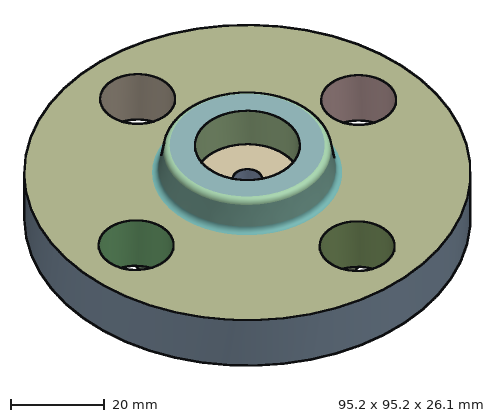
import cadquery as cq
import math

flange_diameter = 95.2
flange_thickness = 12.95

face_diameter = 50.9
face_height = 5.5

hub_base_diameter = 38.2
hub_height = 7.7
hub_taper = 10.0
hub_fillet = 1.4

socket_diameter = 22.4
socket_depth = 9.5
passage_diameter = 6.3

bolt_count = 4
bolt_circle_diameter = 66.7
bolt_hole_diameter = 16.0

flange_bottom = face_height
flange_top = flange_bottom + flange_thickness
total_height = flange_top + hub_height
socket_floor = total_height - socket_depth

hub_base_radius = hub_base_diameter / 2
hub_top_radius = hub_base_radius - hub_height * math.tan(math.radians(hub_taper))


def make_body():
    """Revolve the raised face, disc and tapered hub, then round the hub's foot and rim."""
    face_radius = face_diameter / 2
    flange_radius = flange_diameter / 2
    profile = (
        cq.Workplane("XZ")
        .moveTo(0, 0)
        .lineTo(face_radius, 0)
        .lineTo(face_radius, flange_bottom)
        .lineTo(flange_radius, flange_bottom)
        .lineTo(flange_radius, flange_top)
        .lineTo(hub_base_radius, flange_top)
        .lineTo(hub_top_radius, total_height)
        .lineTo(0, total_height)
        .close()
    )
    body = profile.revolve(360, (0, 0, 0), (0, 1, 0))
    hub_edges = body.faces("%CONE").edges("%CIRCLE")
    return hub_edges.fillet(hub_fillet)


def vertical_cylinder(diameter, bottom, top):
    """Upright cylinder on the part axis between two levels."""
    return cq.Workplane("XY").workplane(offset=bottom).circle(diameter / 2).extrude(top - bottom)


def make_bolt_holes():
    """Through holes on the bolt circle; they just clip the rim of the raised face."""
    return (
        cq.Workplane("XY")
        .polarArray(bolt_circle_diameter / 2, 0, 360, bolt_count)
        .circle(bolt_hole_diameter / 2)
        .extrude(total_height)
    )


result = (
    make_body()
    .cut(vertical_cylinder(socket_diameter, socket_floor, total_height))
    .cut(vertical_cylinder(passage_diameter, 0, socket_floor))
    .cut(make_bolt_holes())
)